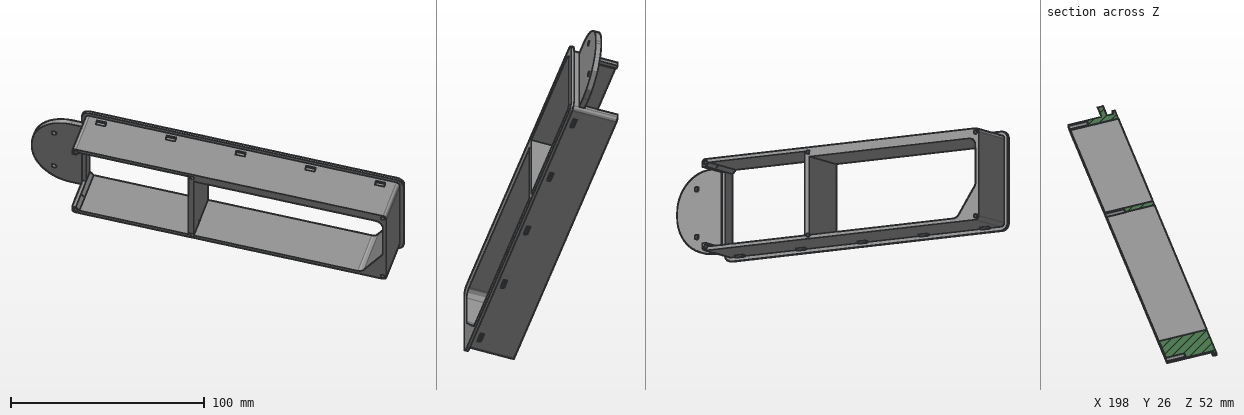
import cadquery as cq


total_length = 198.0
total_depth = 26.0
flange_length = 173.0
flange_height = 52.0
flange_thickness = 1.5
flange_corner_radius = 4.0
flange_overhang = 2.0
wall = 2.0
body_corner_radius = 2.0

divider_thickness = 3.0
divider_center_from_body = 64.0
small_opening_chamfer = 2.0
large_opening_top_wall = 5.0
large_opening_radius = 4.0
ramp_length = 11.5
ramp_height = 16.5
ramp_blend_radius = 4.0

tab_thickness = 3.0
tab_setback = 5.0
tab_corner_radius = 21.0
notch_recess = 1.0
tab_hole_diameter = 2.5
tab_hole_x = 12.0
tab_hole_spacing = 25.0

screw_hole_diameter = 2.0
screw_hole_depth = 10.0
divider_hole_offset = 0.5

ridge_count = 5
ridge_pitch = 37.5
ridge_length = 5.0
ridge_width = 2.0
ridge_crest_width = 1.0
ridge_height = 1.0
ridge_setback = 4.2
ridge_embed = 0.5

flange_left = total_length - flange_length
flange_center_x = flange_left + flange_length / 2
body_length = flange_length - 2 * flange_overhang
body_height = flange_height - 2 * flange_overhang
body_left = flange_left + flange_overhang
body_right = body_left + body_length
inner_left = body_left + wall
inner_right = body_right - wall
inner_half_height = body_height / 2 - wall
divider_x = body_left + divider_center_from_body
divider_left = divider_x - divider_thickness / 2
divider_right = divider_x + divider_thickness / 2
tab_back_y = total_depth - tab_setback
tab_front_y = tab_back_y - tab_thickness


def block(x_min, x_max, z_min, z_max, y_min, y_max):
    """Block between the given limits."""
    return cq.Workplane("XY").box(
        x_max - x_min, y_max - y_min, z_max - z_min, centered=False
    ).translate((x_min, y_min, z_min))


def make_shell():
    """Box body with a thin flange around its back edge."""
    body = block(body_left, body_right, -body_height / 2, body_height / 2, 0, total_depth)
    body = body.edges("|Y").fillet(body_corner_radius)
    flange = block(
        flange_left, total_length, -flange_height / 2, flange_height / 2,
        total_depth - flange_thickness, total_depth,
    )
    flange = flange.edges("|Y").fillet(flange_corner_radius)
    return body.union(flange)


def small_opening():
    """Through opening with two chamfered corners between the left wall and the divider."""
    opening = block(
        inner_left, divider_left, -inner_half_height, inner_half_height, 0, total_depth
    )
    return opening.edges("|Y and <X").chamfer(small_opening_chamfer)


def large_opening():
    """Through opening right of the divider with a ramp in its lower right corner."""
    top = body_height / 2 - large_opening_top_wall
    bottom = -inner_half_height
    ramp_start_x = inner_right - ramp_length
    ramp_end_z = bottom + ramp_height
    opening = (
        cq.Workplane("XZ")
        .moveTo(divider_right, bottom)
        .lineTo(ramp_start_x, bottom)
        .lineTo(inner_right, ramp_end_z)
        .lineTo(inner_right, top)
        .lineTo(divider_right, top)
        .close()
        .extrude(-total_depth)
    )
    half_depth = total_depth / 2
    for x, z in ((ramp_start_x, bottom), (inner_right, ramp_end_z)):
        corner = cq.selectors.NearestToPointSelector((x, half_depth, z))
        opening = opening.edges(corner).fillet(ramp_blend_radius)
    top_corner = cq.selectors.NearestToPointSelector((inner_right, half_depth, top))
    return opening.edges(top_corner).fillet(large_opening_radius)


def left_wall_notch():
    """Removes the left wall in front of the tab, between the chamfered corners."""
    half_height = inner_half_height - small_opening_chamfer
    return block(body_left, inner_left, -half_height, half_height, 0, tab_front_y + notch_recess)


def make_tab():
    """Rounded mounting tab reaching out from the left wall."""
    tab = block(
        0, body_left, -inner_half_height, inner_half_height, tab_front_y, tab_back_y
    )
    tab = tab.edges("|Y and <X").fillet(tab_corner_radius)
    holes = (
        cq.Workplane("XZ", origin=(0, tab_front_y, 0))
        .pushPoints([(tab_hole_x, side * tab_hole_spacing / 2) for side in (-1, 1)])
        .circle(tab_hole_diameter / 2)
        .extrude(-tab_thickness)
    )
    return tab.cut(holes)


def screw_holes():
    """Blind holes in the front rim, at the corners and at both ends of the divider."""
    centers = [
        (x, side * inner_half_height)
        for x in (inner_left, inner_right)
        for side in (-1, 1)
    ]
    divider_hole_x = divider_x + divider_hole_offset
    centers.append((divider_hole_x, -inner_half_height))
    centers.append((divider_hole_x, inner_half_height - divider_hole_offset))
    return (
        cq.Workplane("XZ")
        .pushPoints(centers)
        .circle(screw_hole_diameter / 2)
        .extrude(-screw_hole_depth)
    )


def make_ridge(center_x, side):
    """Snap ridge with a steep back and a ramped front on the top (side 1) or bottom (side -1) face."""
    face_z = side * body_height / 2
    crest_z = face_z + side * ridge_height
    back_y = total_depth - ridge_setback
    return (
        cq.Workplane("YZ", origin=(center_x - ridge_length / 2, 0, 0))
        .moveTo(back_y, face_z - side * ridge_embed)
        .lineTo(back_y, crest_z)
        .lineTo(back_y - ridge_crest_width, crest_z)
        .lineTo(back_y - ridge_width, face_z)
        .lineTo(back_y - ridge_width, face_z - side * ridge_embed)
        .close()
        .extrude(ridge_length)
    )


result = make_shell()
result = result.cut(small_opening()).cut(large_opening()).cut(left_wall_notch())
result = result.union(make_tab()).cut(screw_holes())
for index in range(ridge_count):
    ridge_x = flange_center_x + (index - (ridge_count - 1) / 2) * ridge_pitch
    for side in (-1, 1):
        result = result.union(make_ridge(ridge_x, side))